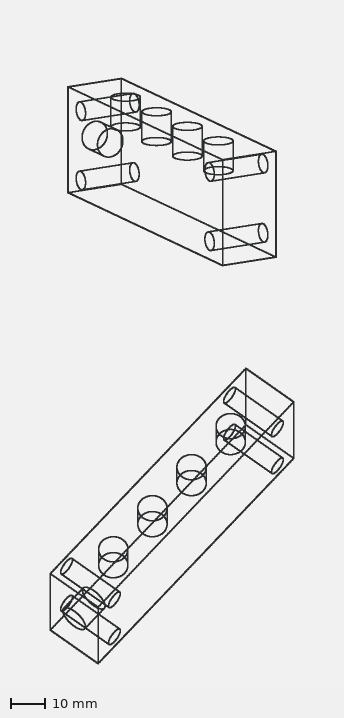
import cadquery as cq

length = 90.0
width = 18.0
height = 32.0

mount_diameter = 5.5
mount_spacing_x = 75.0
mount_spacing_z = 21.0

port_diameter = 8.55
port_depth = 9.0
port_count = 4
port_pitch = length / (port_count + 1)

block = cq.Workplane("XY").box(length, width, height)

mount_holes = (
    cq.Workplane("XZ")
    .rarray(mount_spacing_x, mount_spacing_z, 2, 2)
    .circle(mount_diameter / 2)
    .extrude(width / 2, both=True)
)

top_ports = (
    cq.Workplane("XY", origin=(0, 0, height / 2))
    .rarray(port_pitch, 0.9, port_count, 1)
    .circle(port_diameter / 2)
    .extrude(-port_depth)
)

inlet = (
    cq.Workplane("YZ", origin=(-length / 2, 0, 0))
    .circle(port_diameter / 2)
    .extrude(port_depth)
)

result = block.cut(mount_holes).cut(top_ports).cut(inlet)